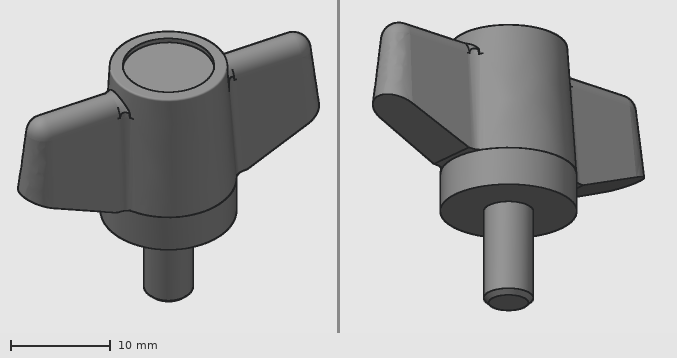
import cadquery as cq
import math

overall_height = 27.9
stud_diameter = 5.0
stud_length = 10.0
stud_chamfer = 0.5
collar_diameter = 13.75
collar_height = 4.0
body_base_z = stud_length + collar_height

body_base_radius = 6.85
body_top_radius = 5.9
body_rim_fillet = 0.2
recess_diameter = 9.18
recess_depth = 0.5

wing_span = 34.0
wing_top_z = 26.52
wing_crest_radius = 1.8
wing_side_draft = 5.0
wing_tip_draft = 7.0
wing_tip_bottom_z = 17.92
underside_start_y = 7.48
wing_root_fillet = 1.43
root_flare_start_y = 6.6
root_flare_end_y = 5.7
root_flare_half_width = 2.5

crest_axis_z = wing_top_z - wing_crest_radius
crest_seam_z = crest_axis_z + wing_crest_radius * math.sin(math.radians(wing_side_draft))


def wing_half_width(z):
    """Half thickness of the drafted wing at height z."""
    seam_half_width = wing_crest_radius * math.cos(math.radians(wing_side_draft))
    return seam_half_width + (crest_seam_z - z) * math.tan(math.radians(wing_side_draft))


def wing_tip_y(z):
    """Distance from the part axis to the wing tip at height z."""
    return wing_span / 2 - (z - wing_tip_bottom_z) * math.tan(math.radians(wing_tip_draft))


def wing_section(z):
    """Closed wire across both wings at height z, with round tips."""
    half_width = wing_half_width(z)
    tip = wing_tip_y(z)
    straight_end = tip - half_width
    outline = (
        cq.Workplane("XY", origin=(0, 0, z))
        .moveTo(half_width, -straight_end)
        .lineTo(half_width, straight_end)
        .threePointArc((0, tip), (-half_width, straight_end))
        .lineTo(-half_width, -straight_end)
        .threePointArc((0, -tip), (half_width, -straight_end))
        .close()
    )
    return outline.val()


def make_blades():
    """Drafted double wing with a flat top, before its crest is rounded."""
    sections = [wing_section(body_base_z), wing_section(wing_top_z)]
    return cq.Workplane(cq.Solid.makeLoft(sections, True))


def make_crest():
    """Rounded ridge along the top of both wings, ending in balls."""
    crest_end_y = wing_tip_y(crest_seam_z) - wing_half_width(crest_seam_z)
    crest = (
        cq.Workplane("XZ", origin=(0, 0, crest_axis_z))
        .circle(wing_crest_radius)
        .extrude(crest_end_y, both=True)
    )
    for side in (-1, 1):
        ball = cq.Workplane("XY", origin=(0, side * crest_end_y, crest_axis_z)).sphere(wing_crest_radius)
        crest = crest.union(ball)
    return crest


def make_body():
    """Tapered hub with a rounded top rim."""
    return (
        cq.Workplane("XZ")
        .moveTo(0, body_base_z)
        .lineTo(body_base_radius, body_base_z)
        .lineTo(body_top_radius, overall_height)
        .lineTo(0, overall_height)
        .close()
        .revolve(360, (0, 0, 0), (0, 1, 0))
        .faces(">Z")
        .edges()
        .fillet(body_rim_fillet)
    )


def blend_wing_roots(handle):
    """Fillet the upright seams where the wing sides meet the tapered hub."""
    margin = 0.35
    inner_y = body_top_radius - wing_crest_radius / 2
    outer_y = underside_start_y - margin
    root_edges = None
    for side in (-1, 1):
        near_y, far_y = sorted((side * inner_y, side * outer_y))
        box = cq.selectors.BoxSelector(
            (-collar_diameter / 2, near_y, body_base_z + margin),
            (collar_diameter / 2, far_y, wing_top_z - margin),
        )
        root_edges = box if root_edges is None else root_edges + box
    return handle.edges(root_edges).fillet(wing_root_fillet)


def arch_section(y, half_width):
    """Closed arch wire at a given y, rising from the crest seam to the wing top."""
    left_foot = cq.Vector(-half_width, y, crest_seam_z)
    right_foot = cq.Vector(half_width, y, crest_seam_z)
    arch_top = cq.Vector(0, y, wing_top_z)
    arch = cq.Edge.makeThreePointArc(left_foot, arch_top, right_foot)
    base = cq.Edge.makeLine(right_foot, left_foot)
    return cq.Wire.assembleEdges([arch, base])


def make_root_flares():
    """Widening of the rounded crest where each wing runs into the hub."""
    flares = cq.Workplane("XY")
    for side in (-1, 1):
        sections = [
            arch_section(side * root_flare_start_y, wing_half_width(crest_seam_z)),
            arch_section(side * root_flare_end_y, root_flare_half_width),
        ]
        flares = flares.add(cq.Solid.makeLoft(sections, True))
    return flares.combine()


def cut_undersides(handle):
    """Slope the wing undersides up towards the tips."""
    slope = (wing_tip_bottom_z - body_base_z) / (wing_span / 2 - underside_start_y)
    wedge_end_y = wing_span
    wedge_end_z = body_base_z + slope * (wedge_end_y - underside_start_y)
    for side in (-1, 1):
        wedge = (
            cq.Workplane("YZ")
            .moveTo(side * underside_start_y, body_base_z)
            .lineTo(side * wedge_end_y, wedge_end_z)
            .lineTo(side * wedge_end_y, body_base_z)
            .close()
            .extrude(collar_diameter, both=True)
        )
        handle = handle.cut(wedge)
    return handle


body = make_body()
blended = blend_wing_roots(body.union(make_blades()))
above_seam = (
    cq.Workplane("XY", origin=(0, 0, crest_seam_z))
    .rect(wing_span, wing_span)
    .extrude(overall_height - crest_seam_z)
)
handle = blended.cut(above_seam).union(body).union(make_crest())
handle = handle.union(make_root_flares().intersect(blended))
handle = cut_undersides(handle)

recess = (
    cq.Workplane("XY", origin=(0, 0, overall_height - recess_depth))
    .circle(recess_diameter / 2)
    .extrude(recess_depth)
)

collar = (
    cq.Workplane("XY", origin=(0, 0, stud_length))
    .circle(collar_diameter / 2)
    .extrude(collar_height)
)

stud = (
    cq.Workplane("XY")
    .circle(stud_diameter / 2)
    .extrude(stud_length)
    .faces("<Z")
    .chamfer(stud_chamfer)
)

result = handle.cut(recess).union(collar).union(stud)